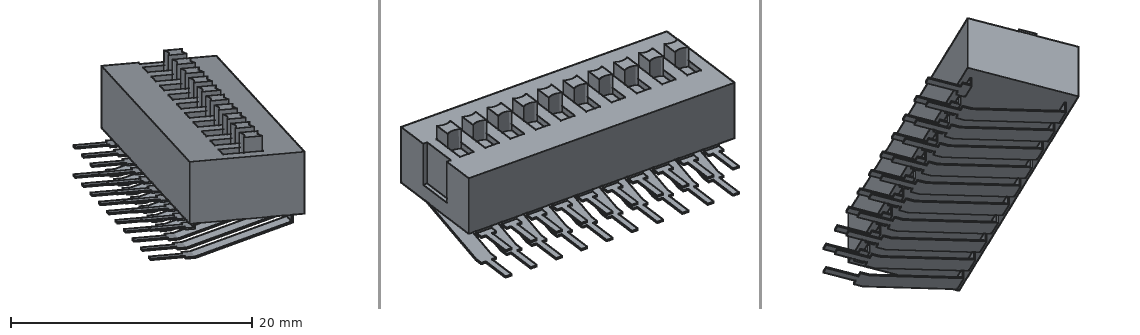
import cadquery as cq
import math

housing_length = 26.75
housing_depth = 9.9
housing_height = 5.4
front_face_y = -housing_depth / 2
back_face_y = housing_depth / 2

switch_count = 10
switch_pitch = 2.55
row_shift = 0.08
row_positions = [
    row_shift + (index - (switch_count - 1) / 2) * switch_pitch
    for index in range(switch_count)
]

slot_width = 1.4
slot_span = 3.45
slot_depth = 0.6
slot_setback = 3.25
slot_back_y = back_face_y - slot_setback
slot_center_y = slot_back_y - slot_span / 2
notch_width = 0.4
notch_depth = 4.0

button_width = 1.36
button_length = 1.6
button_rise = 1.3
button_hollow = 0.21
button_back_gap = 0.05

terminal_thickness = 0.147
terminal_width = 1.5
tail_width = 0.62
tail_length = 2.9
terminal_inset = 0.67
front_terminal_drop = 0.85
back_terminal_drop = 3.4
back_bend_drop = 1.05


def make_housing():
    block = cq.Workplane("XY").box(
        housing_length, housing_depth, housing_height, centered=(True, True, False)
    )
    slots = (
        cq.Workplane("XY", origin=(0, 0, housing_height))
        .pushPoints([(x, slot_center_y) for x in row_positions])
        .rect(slot_width, slot_span)
        .extrude(-slot_depth)
    )
    notch = (
        cq.Workplane("XY", origin=(0, 0, housing_height))
        .center(-housing_length / 2 + notch_width / 2, slot_center_y)
        .rect(notch_width, slot_span)
        .extrude(-notch_depth)
    )
    return block.cut(slots).cut(notch)


def make_button(x):
    """Button standing on the slot floor, hollowed across its front and back."""
    left = x - button_width / 2
    right = x + button_width / 2
    back = slot_back_y - button_back_gap
    front = back - button_length
    return (
        cq.Workplane("XY", origin=(0, 0, housing_height - slot_depth))
        .moveTo(left, front)
        .threePointArc((x, front + button_hollow), (right, front))
        .lineTo(right, back)
        .threePointArc((x, back - button_hollow), (left, back))
        .close()
        .extrude(slot_depth + button_rise)
    )


def extrude_along_x(side_outline, x, width):
    """Solid of the given width, centred on x, from an outline of (Y, Z) points."""
    return (
        cq.Workplane("YZ", origin=(x, 0, 0))
        .polyline(side_outline)
        .close()
        .extrude(width / 2, both=True)
    )


def make_tail(x, bottom_z):
    """Narrow strip that sticks out in front of the housing."""
    return (
        cq.Workplane("XY", origin=(x, front_face_y - tail_length / 2, bottom_z))
        .box(tail_width, tail_length, terminal_thickness, centered=(True, True, False))
    )


def make_front_terminal(x):
    """Short leg going down, then bent forwards."""
    outer_y = front_face_y + terminal_inset
    inner_y = outer_y + terminal_thickness
    bottom_z = -front_terminal_drop
    top_z = bottom_z + terminal_thickness
    outline = [
        (outer_y, 0),
        (inner_y, 0),
        (inner_y, bottom_z),
        (front_face_y, bottom_z),
        (front_face_y, top_z),
        (outer_y, top_z),
    ]
    return extrude_along_x(outline, x, terminal_width).union(make_tail(x, bottom_z))


def make_back_terminal(x):
    """Leg going down, sloping forwards under the housing, then level."""
    outer_y = back_face_y - terminal_inset
    inner_y = outer_y - terminal_thickness
    level_y = front_face_y + terminal_inset + terminal_thickness
    bottom_z = -back_terminal_drop
    top_z = bottom_z + terminal_thickness
    slope_angle = math.atan2(back_terminal_drop - back_bend_drop, outer_y - level_y)
    slope_height = terminal_thickness / math.cos(slope_angle)
    upper_bend_z = -back_bend_drop + slope_height - terminal_thickness * math.tan(slope_angle)
    level_shift = (slope_height - terminal_thickness) / math.tan(slope_angle)
    outline = [
        (outer_y, 0),
        (outer_y, -back_bend_drop),
        (level_y, bottom_z),
        (front_face_y, bottom_z),
        (front_face_y, top_z),
        (level_y - level_shift, top_z),
        (inner_y, upper_bend_z),
        (inner_y, 0),
    ]
    return extrude_along_x(outline, x, terminal_width).union(make_tail(x, bottom_z))


result = make_housing()
for row_x in row_positions:
    result = result.union(make_button(row_x))
    result = result.union(make_front_terminal(row_x))
    result = result.union(make_back_terminal(row_x))